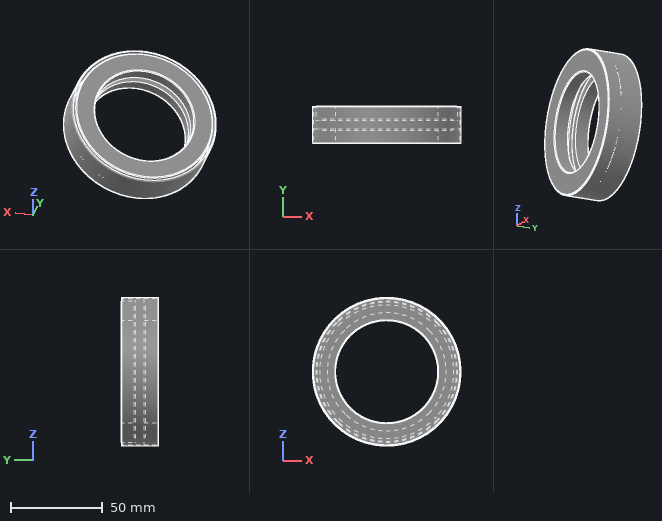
import cadquery as cq
import math

outer_diameter = 80.9625
bore_diameter = 55.5625
overall_width = 20.6375

race_thickness = 7.9375
race_chamfer = 0.508
front_race_diameter = 79.59
rear_race_diameter = 76.9

groove_radius = 3.175
pitch_diameter = 68.7

band_front_chamfer = 0.42
band_rear_setback = 0.4
band_rear_rounding = 0.508

front_y = -overall_width / 2
rear_y = overall_width / 2
bore_radius = bore_diameter / 2


def revolve_about_y(outline):
    """Revolve a closed outline, drawn as radius along X and position along Y, about the Y axis."""
    return outline.close().revolve(360, (0, 0, 0), (0, 1, 0))


def cut_raceway(race):
    """Cut the round groove from a race; its centre circle lies midway between the races, at y = 0."""
    pitch_radius = pitch_diameter / 2
    section = cq.Workplane("XY").center(pitch_radius, 0).circle(groove_radius)
    return race.cut(section.revolve(360, (-pitch_radius, 0, 0), (-pitch_radius, 1, 0))).solids()


def make_band():
    """Thin outer band, chamfered at its front rim and rounded at its rear rim."""
    outer_radius = outer_diameter / 2
    inner_radius = front_race_diameter / 2
    rim_y = rear_y - band_rear_setback
    arc_centre_radius = outer_radius - band_rear_rounding
    arc_centre_y = rim_y - band_rear_rounding
    arc_middle_offset = band_rear_rounding * math.sqrt(0.5)
    arc_middle = (arc_centre_radius + arc_middle_offset, arc_centre_y + arc_middle_offset)
    outline = (
        cq.Workplane("XY")
        .moveTo(inner_radius, front_y)
        .lineTo(outer_radius - band_front_chamfer, front_y)
        .lineTo(outer_radius, front_y + band_front_chamfer)
        .lineTo(outer_radius, arc_centre_y)
        .threePointArc(arc_middle, (arc_centre_radius, rim_y))
        .lineTo(inner_radius, rim_y)
    )
    return revolve_about_y(outline)


def make_front_race():
    """Race held by the band, with its bore chamfered at the front face."""
    race_radius = front_race_diameter / 2
    inner_face_y = front_y + race_thickness
    outline = cq.Workplane("XY").polyline([
        (bore_radius + race_chamfer, front_y),
        (race_radius, front_y),
        (race_radius, inner_face_y),
        (bore_radius, inner_face_y),
        (bore_radius, front_y + race_chamfer),
    ])
    return cut_raceway(revolve_about_y(outline))


def make_rear_race():
    """Smaller race that clears the band and stands slightly proud of its rear rim."""
    race_radius = rear_race_diameter / 2
    inner_face_y = rear_y - race_thickness
    outline = cq.Workplane("XY").polyline([
        (bore_radius, inner_face_y),
        (race_radius, inner_face_y),
        (race_radius, rear_y - race_chamfer),
        (race_radius - race_chamfer, rear_y),
        (bore_radius + race_chamfer, rear_y),
        (bore_radius, rear_y - race_chamfer),
    ])
    return cut_raceway(revolve_about_y(outline))


band = make_band()
front_race = make_front_race()
rear_race = make_rear_race()

result = cq.Compound.makeCompound([band.val(), front_race.val(), rear_race.val()])